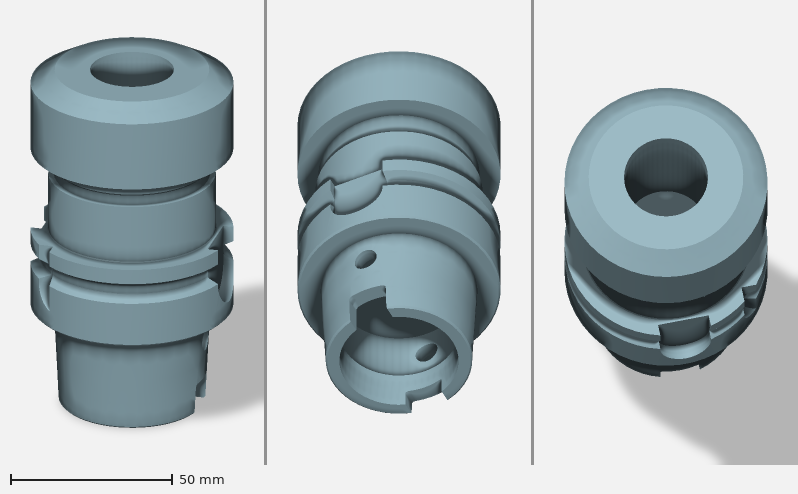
import cadquery as cq
import math

overall_height = 112.0
flange_bottom = 31.9
flange_top = 58.0
body_top = 77.0
nut_bottom = 85.5

nut_diameter = 63.0
nut_face_diameter = 47.9
nut_bevel_angle = 30.0
nut_bore_diameter = 26.0
nut_bore_depth = 44.8

body_diameter = 52.0
body_base_bevel = 0.3
lower_neck_diameter = 48.6
upper_neck_diameter = 50.0
upper_neck_bottom = 80.8

flange_diameter = nut_diameter
flange_bottom_bevel = 0.6
groove_diameter = 56.9
groove_bevel_angle = 30.0
groove_lower_edge = 46.5
groove_upper_edge = 53.2
groove_fillet_radius = 0.6

narrow_slot_width = 16.0
wide_slot_width = 18.0
slot_bottom = 37.2
slot_floor_offset = 26.9
notch_offset = 19.8

taper_top_diameter = 48.6
taper_bottom_diameter = 45.5
taper_end_bevel = 0.6
cavity_mouth_diameter = 37.0
cavity_mouth_depth = 13.4
cavity_chamber_diameter = 39.6
cavity_depth = flange_bottom
cross_hole_diameter = 7.5
cross_hole_height = 23.2

key_slot_width = 12.5
shallow_key_depth = 6.0
deep_key_depth = 10.0
key_corner_radius = 1.1


def make_revolved_body():
    """Everything round about the Z axis, turned from one half outline."""
    nut_radius = nut_diameter / 2
    nut_face_radius = nut_face_diameter / 2
    nut_bevel_height = (nut_radius - nut_face_radius) * math.tan(math.radians(nut_bevel_angle))
    body_radius = body_diameter / 2
    lower_neck_radius = lower_neck_diameter / 2
    upper_neck_radius = upper_neck_diameter / 2
    flange_radius = flange_diameter / 2
    groove_radius = groove_diameter / 2
    groove_bevel_height = (flange_radius - groove_radius) * math.tan(math.radians(groove_bevel_angle))
    groove_floor_bottom = groove_lower_edge + groove_bevel_height
    groove_floor_top = groove_upper_edge - groove_bevel_height
    taper_bottom_radius = taper_bottom_diameter / 2

    outline = [
        (0, 0),
        (taper_bottom_radius - taper_end_bevel, 0),
        (taper_bottom_radius, taper_end_bevel),
        (taper_top_diameter / 2, flange_bottom),
        (flange_radius - flange_bottom_bevel, flange_bottom),
        (flange_radius, flange_bottom + flange_bottom_bevel),
        (flange_radius, groove_lower_edge),
        (groove_radius, groove_floor_bottom),
        (groove_radius, groove_floor_top),
        (flange_radius, groove_upper_edge),
        (flange_radius, flange_top),
        (body_radius + body_base_bevel, flange_top),
        (body_radius, flange_top + body_base_bevel),
        (body_radius, body_top),
        (lower_neck_radius, body_top),
        (lower_neck_radius, upper_neck_bottom - (upper_neck_radius - lower_neck_radius)),
        (upper_neck_radius, upper_neck_bottom),
        (upper_neck_radius, nut_bottom),
        (nut_radius, nut_bottom),
        (nut_radius, overall_height - nut_bevel_height),
        (nut_face_radius, overall_height),
        (0, overall_height),
    ]
    turned = cq.Workplane("XZ").polyline(outline).close().revolve(360, (0, 0), (0, 1))

    groove_corners = cq.selectors.BoxSelector(
        (-groove_radius, -groove_radius, groove_floor_bottom - groove_bevel_height / 2),
        (groove_radius, groove_radius, groove_floor_top + groove_bevel_height / 2),
    )
    return turned.edges("%CIRCLE").edges(groove_corners).fillet(groove_fillet_radius)


def make_flange_slot(width, start_x, center_y):
    """Round-bottomed slot cutter running outward along -X, open at the flange top."""
    radius = width / 2
    center_z = slot_bottom + radius
    return (
        cq.Workplane("YZ", origin=(-start_x, center_y, 0))
        .moveTo(-radius, flange_top)
        .lineTo(-radius, center_z)
        .threePointArc((0, slot_bottom), (radius, center_z))
        .lineTo(radius, flange_top)
        .close()
        .extrude(-flange_diameter)
    )


def make_key_slot(depth):
    """Drive key slot cutter on the -X side, with rounded upper corners."""
    length = taper_top_diameter / 2
    return (
        cq.Workplane("XY")
        .box(length, key_slot_width, depth, centered=(False, True, False))
        .translate((-length, 0, 0))
        .edges("|X and >Z")
        .fillet(key_corner_radius)
    )


def turn_to_opposite_side(shape):
    return shape.rotate((0, 0, 0), (0, 0, 1), 180)


body = make_revolved_body()

nut_bore = (
    cq.Workplane("XY", origin=(0, 0, overall_height))
    .circle(nut_bore_diameter / 2)
    .extrude(-nut_bore_depth)
)
cavity_mouth = cq.Workplane("XY").circle(cavity_mouth_diameter / 2).extrude(cavity_mouth_depth)
cavity_chamber = (
    cq.Workplane("XY", origin=(0, 0, cavity_mouth_depth))
    .circle(cavity_chamber_diameter / 2)
    .extrude(cavity_depth - cavity_mouth_depth)
)
body = body.cut(nut_bore).cut(cavity_mouth).cut(cavity_chamber)

narrow_slot = make_flange_slot(narrow_slot_width, slot_floor_offset, 0)
wide_slot = turn_to_opposite_side(make_flange_slot(wide_slot_width, slot_floor_offset, 0))
notch = make_flange_slot(narrow_slot_width, notch_offset, -notch_offset - narrow_slot_width / 2)
body = body.cut(narrow_slot).cut(wide_slot).cut(notch)

cross_hole = (
    cq.Workplane("YZ")
    .center(0, cross_hole_height)
    .circle(cross_hole_diameter / 2)
    .extrude(taper_top_diameter, both=True)
)
body = body.cut(cross_hole)

body = body.cut(make_key_slot(shallow_key_depth))
result = body.cut(turn_to_opposite_side(make_key_slot(deep_key_depth)))